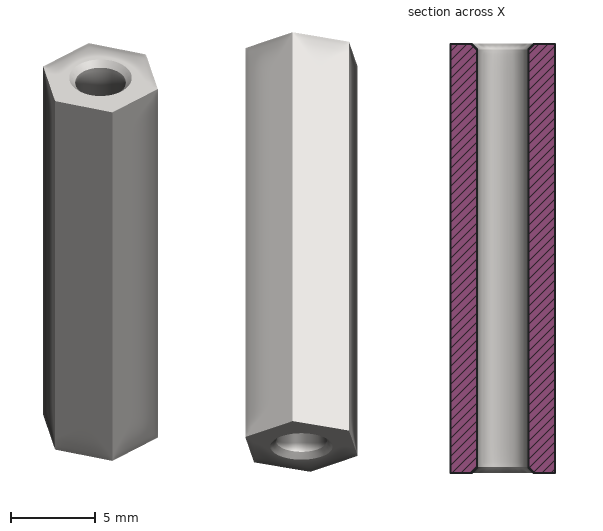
import cadquery as cq
import math

across_flats = 6.2
length = 25.4
bore_diameter = 3.0
countersink_diameter = 3.7
countersink_angle = 90.0

hex_sides = 6
across_corners = across_flats / math.cos(math.pi / hex_sides)


def hex_body():
    """Hexagonal bar with two flats facing +Y and -Y, centred on the origin."""
    return cq.Workplane("XY").polygon(hex_sides, across_corners).extrude(length / 2, both=True)


def countersunk_through_bore(body):
    """Bore the bar end to end, with a conical lead-in at both mouths."""
    for end_face in (">Z", "<Z"):
        body = (
            body.faces(end_face)
            .workplane(centerOption="CenterOfBoundBox")
            .cskHole(bore_diameter, countersink_diameter, countersink_angle)
        )
    return body


result = countersunk_through_bore(hex_body())